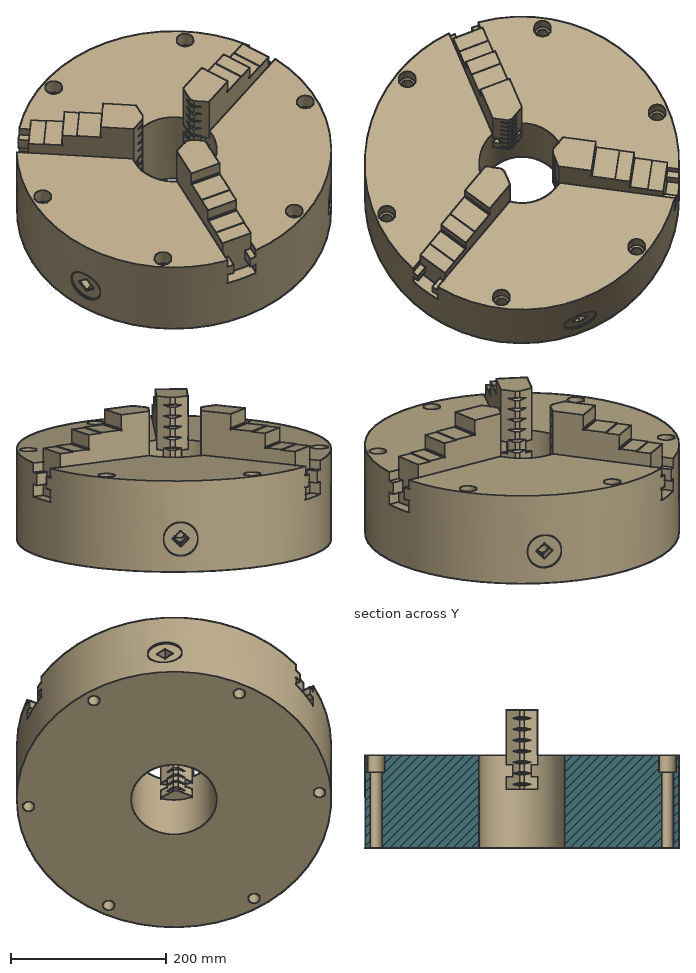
import cadquery as cq
import math


body_diameter = 405.0
body_height = 120.0
bore_diameter = 110.0

screw_count = 6
screw_circle_diameter = 375.0
screw_hole_diameter = 15.0
screw_head_diameter = 22.0
screw_head_depth = 22.0

socket_height = 43.5
socket_face_diameter = 44.0
socket_face_radius = 200.0
square_width = 15.0
square_depth = 16.0
drill_diameter = square_width
drill_depth = 40.5
front_socket_chamfer = 1.0

jaw_count = 3
jaw_spacing = 360 / jaw_count
jaw_width = 40.5
neck_width = 23.5
slot_depth = 44.0
rail_top_depth = 12.0
rail_bottom_depth = 28.0
slot_floor = body_height - slot_depth
rail_top = body_height - rail_top_depth
rail_bottom = body_height - rail_bottom_depth

jaw_height = 58.5
jaw_top = body_height + jaw_height
step_height = 20.0
upper_riser = 93.0
lower_riser = 143.0
jaw_outer_radius = 186.2
tread_relief = 1.0
upper_relief_radius = 124.0
lower_relief_radius = 166.5
undercut_size = 1.5

nose_radius = 40.5
nose_flat = 6.0
nose_angle = 30.0
serration_count = 7
serration_pitch = 14.0
serration_first_depth = 11.0
serration_depth = 5.0
serration_height = 4.0


def turned(shape, angle):
    return shape.rotate((0, 0, 0), (0, 0, 1), angle)


def radial_block(width, inner_radius, outer_radius, bottom, top):
    """Block along +Y, centred on the YZ plane."""
    return cq.Workplane("XY").box(
        width, outer_radius - inner_radius, top - bottom, centered=(True, False, False)
    ).translate((0, inner_radius, bottom))


def guide_section(inner_radius, outer_radius, top):
    """Block along +Y that is narrowed to a neck where the slot rails enter."""
    full = radial_block(jaw_width, inner_radius, outer_radius, slot_floor, top)
    rail_zone = radial_block(jaw_width, inner_radius, outer_radius, rail_bottom, rail_top)
    neck = radial_block(neck_width, inner_radius, outer_radius, rail_bottom, rail_top)
    return full.cut(rail_zone).union(neck)


def socket_cutter():
    """Flat-faced recess, square key hole and drilled hole, entering from the -Y side."""
    face = cq.Workplane("XZ", origin=(0, -socket_face_radius, socket_height))
    recess_depth = body_diameter / 2 - socket_face_radius
    recess = face.circle(socket_face_diameter / 2).extrude(recess_depth)
    square = face.transformed(rotate=(0, 0, 45)).rect(square_width, square_width).extrude(-square_depth)
    drill = face.circle(drill_diameter / 2).extrude(-drill_depth)
    return recess.union(square).union(drill)


def chamfer_front_socket(body):
    """Break the recess rim and the square mouth of the -Y socket."""
    reach = socket_face_diameter / 2 + front_socket_chamfer
    zone = cq.selectors.BoxSelector(
        (-reach, -body_diameter / 2 - front_socket_chamfer, socket_height - reach),
        (reach, -socket_face_radius + front_socket_chamfer, socket_height + reach),
        boundingbox=True,
    )
    rim_and_square = body.edges(zone).edges("not %CIRCLE")
    return rim_and_square.chamfer(front_socket_chamfer)


def make_body():
    body = cq.Workplane("XY").circle(body_diameter / 2).circle(bore_diameter / 2).extrude(body_height)
    body = (
        body.faces(">Z").workplane()
        .polarArray(screw_circle_diameter / 2, 0, 360, screw_count)
        .cboreHole(screw_hole_diameter, screw_head_diameter, screw_head_depth)
    )
    slot = guide_section(0, body_diameter / 2, body_height)
    for i in range(jaw_count):
        body = body.cut(turned(slot, i * jaw_spacing))
        body = body.cut(turned(socket_cutter(), i * jaw_spacing))
    return chamfer_front_socket(body)


def cut_steps(jaw):
    """Two treads, each dropping slightly near its outer edge, with a relieved inner corner."""
    steps = (
        (upper_riser, upper_relief_radius, jaw_top - step_height),
        (lower_riser, lower_relief_radius, jaw_top - 2 * step_height),
    )
    half_undercut = undercut_size / 2
    for riser, relief_radius, tread in steps:
        jaw = jaw.cut(radial_block(jaw_width, riser, jaw_outer_radius, tread, jaw_top))
        jaw = jaw.cut(radial_block(jaw_width, relief_radius, jaw_outer_radius, tread - tread_relief, jaw_top))
        jaw = jaw.cut(radial_block(
            jaw_width, riser - half_undercut, riser + half_undercut,
            tread - half_undercut, tread + half_undercut,
        ))
    return jaw


def nose_outline():
    """Plan of the jaw: pointed toward the chuck axis, with a narrow flat at the tip."""
    half_width = jaw_width / 2
    half_flat = nose_flat / 2
    shoulder = nose_radius + (half_width - half_flat) * math.tan(math.radians(nose_angle))
    return cq.Workplane("XY", origin=(0, 0, slot_floor)).polyline([
        (-half_flat, nose_radius),
        (half_flat, nose_radius),
        (half_width, shoulder),
        (half_width, jaw_outer_radius),
        (-half_width, jaw_outer_radius),
        (-half_width, shoulder),
    ]).close()


def cut_serrations(jaw):
    for i in range(serration_count):
        level = jaw_top - serration_first_depth - i * serration_pitch
        groove = cq.Workplane("YZ").polyline([
            (nose_radius, level + serration_height / 2),
            (nose_radius + serration_depth, level),
            (nose_radius, level - serration_height / 2),
        ]).close().extrude(jaw_width / 2, both=True)
        jaw = jaw.cut(groove)
    return jaw


def make_jaw():
    jaw = nose_outline().extrude(jaw_top - slot_floor)
    jaw = jaw.intersect(guide_section(nose_radius, jaw_outer_radius, jaw_top))
    return cut_serrations(cut_steps(jaw))


body = make_body()
jaw = make_jaw()
jaws = [turned(jaw, i * jaw_spacing) for i in range(jaw_count)]

result = cq.Compound.makeCompound([body.val(), *[placed.val() for placed in jaws]])